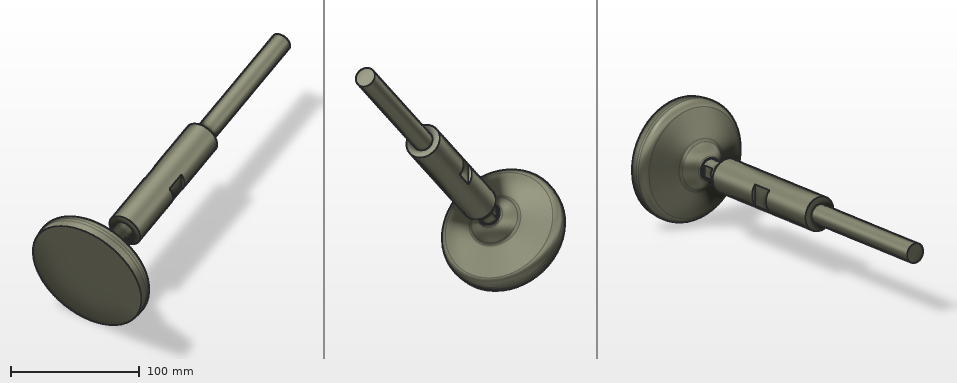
import cadquery as cq
import math


total_length = 290.0

foot_radius = 50.0
floor_radius = 49.3
draft_height = 6.0
rim_top = 8.7
shoulder_radius = 7.4
cone_angle = math.radians(19.0)
dome_radius = 23.2
dome_center = 12.8
blend_radius = 4.0
lip_base_radius = 10.2
lip_top_radius = 8.9
foot_height = 35.0

spindle_radius = 8.0
spindle_flat_width = 13.0
spindle_flat_length = 9.5
spindle_flat_start = 37.0

sleeve_radius = 14.0
sleeve_start = 56.3
sleeve_length = 115.0
sleeve_flat_width = 22.0
sleeve_flat_length = 17.5


def cylinder_along_y(radius, start, length):
    """Solid cylinder on the Y axis from start to start + length."""
    plane = cq.Plane(origin=(0, start, 0), xDir=(0, 0, 1), normal=(0, 1, 0))
    return cq.Workplane(plane).circle(radius).extrude(length)


def cut_wrench_flats(body, radius, width, start, length):
    """Cut two opposite flats, facing -X and +X, leaving the given width between them."""
    depth = radius - width / 2
    for side in (-1, 1):
        cutter = cq.Workplane("XY").box(depth, length, 2 * radius)
        body = body.cut(cutter.translate((side * (width + depth) / 2, start + length / 2, 0)))
    return body


def point_on_circle(center, radius, angle):
    """Point at the given angle from the Y axis, as (Y, distance from the axis)."""
    return (center[0] + radius * math.cos(angle), center[1] + radius * math.sin(angle))


def make_foot():
    """Revolved foot; profile points are (Y, distance from the axis)."""
    shoulder_center = (rim_top, foot_radius - shoulder_radius)
    shoulder_mid = point_on_circle(shoulder_center, shoulder_radius, (math.pi / 2 + cone_angle) / 2)
    shoulder_end = point_on_circle(shoulder_center, shoulder_radius, cone_angle)

    cone_from_dome_center = (
        (shoulder_end[0] - dome_center) * math.cos(cone_angle) + shoulder_end[1] * math.sin(cone_angle)
    )
    center_distance = dome_radius + blend_radius
    dome_angle = cone_angle + math.acos((cone_from_dome_center + blend_radius) / center_distance)
    blend_center = point_on_circle((dome_center, 0), center_distance, dome_angle)
    blend_start = point_on_circle(blend_center, -blend_radius, cone_angle)
    blend_mid = point_on_circle(blend_center, -blend_radius, (cone_angle + dome_angle) / 2)
    blend_end = point_on_circle(blend_center, -blend_radius, dome_angle)

    lip_angle = math.asin(lip_base_radius / dome_radius)
    dome_mid = point_on_circle((dome_center, 0), dome_radius, (dome_angle + lip_angle) / 2)
    dome_end = point_on_circle((dome_center, 0), dome_radius, lip_angle)

    return (
        cq.Workplane("YZ")
        .moveTo(0, 0)
        .lineTo(0, floor_radius)
        .lineTo(draft_height, foot_radius)
        .lineTo(rim_top, foot_radius)
        .threePointArc(shoulder_mid, shoulder_end)
        .lineTo(*blend_start)
        .threePointArc(blend_mid, blend_end)
        .threePointArc(dome_mid, dome_end)
        .lineTo(foot_height, lip_top_radius)
        .lineTo(foot_height, 0)
        .close()
        .revolve(360, (0, 0), (1, 0))
    )


def make_spindle():
    """Plain rod standing on the foot, with two wrench flats near its lower end."""
    rod = cylinder_along_y(spindle_radius, foot_height, total_length - foot_height)
    return cut_wrench_flats(
        rod, spindle_radius, spindle_flat_width, spindle_flat_start, spindle_flat_length
    )


def make_sleeve():
    """Tube around the spindle, with two wrench flats at mid length."""
    tube = cylinder_along_y(sleeve_radius, sleeve_start, sleeve_length)
    flat_start = sleeve_start + (sleeve_length - sleeve_flat_length) / 2
    tube = cut_wrench_flats(tube, sleeve_radius, sleeve_flat_width, flat_start, sleeve_flat_length)
    return tube.cut(cylinder_along_y(spindle_radius, sleeve_start, sleeve_length))


foot = make_foot()
spindle = make_spindle()
sleeve = make_sleeve()

result = cq.Compound.makeCompound([foot.val(), spindle.val(), sleeve.val()])